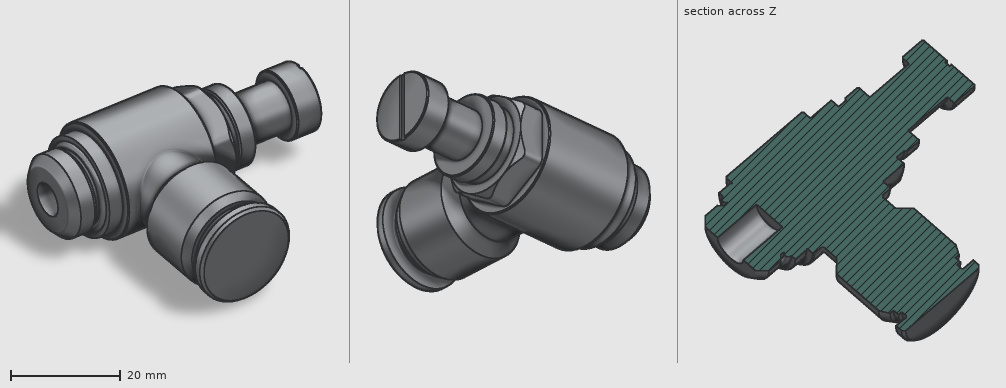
import cadquery as cq
import math


overall_length = 56.4

body_radius = 11.5
body_length = 19.95
body_end = body_length / 2
body_edge_break = 0.2

seal_flange_radius = 10.0
seal_flange_width = 3.15
seal_flange_chamfer = 0.2
seal_face = -body_end - seal_flange_width
ring_wire_radius = 0.8
ring_outer_radius = 8.9
plug_neck_radius = 7.4
plug_radius = 8.3
plug_end = -20.0
plug_end_chamfer = 1.7
plug_shoulder_start = -15.2
plug_rim_fillet = 0.7
port_bore_radius = 3.3

hex_across_flats = 19.0
hex_height = 5.4
hex_corner_fillet = 2.0
hex_top = body_end + hex_height

neck_radius = 7.6
collar_radius = 8.05
collar_bottom = 17.25
collar_top = 20.85
collar_top_chamfer = 0.2
collar_bottom_chamfer = 0.35
stem_radius = 5.0
head_radius = 6.9
head_height = 5.45
head_edge_break = 0.2
head_top = plug_end + overall_length
head_bottom = head_top - head_height
slot_width = 1.1
slot_depth = 0.45

outlet_neck_radius = 7.6
outlet_radius = 10.0
outlet_cone_start = 15.05
outlet_cone_end = outlet_cone_start + outlet_radius - outlet_neck_radius
outlet_taper_start = 28.5
outlet_face = 30.35
outlet_taper_angle = math.radians(30)
outlet_face_radius = outlet_radius - (outlet_face - outlet_taper_start) * math.tan(outlet_taper_angle)
collet_step_radius = 8.0
collet_step_end = 31.65
collet_neck_radius = 7.15
collet_flange_start = 32.95
collet_root_fillet = 0.35
collet_flange_end = 34.95
collet_flange_chamfer = 0.55
outlet_joint_fillet = 0.5


def y_cylinder(radius, start, end):
    """Solid cylinder on the valve axis, from y = start to y = end."""
    axis = cq.Vector(0, 1, 0)
    return cq.Workplane(cq.Solid.makeCylinder(radius, end - start, cq.Vector(0, start, 0), axis))


def make_body():
    return y_cylinder(body_radius, -body_end, body_end).edges().chamfer(body_edge_break)


def make_outlet():
    """Neck, sleeve and release collet turned about the X axis."""
    profile = (
        cq.Workplane("XY")
        .lineTo(0, outlet_neck_radius)
        .lineTo(outlet_cone_start, outlet_neck_radius)
        .lineTo(outlet_cone_end, outlet_radius)
        .lineTo(outlet_taper_start, outlet_radius)
        .lineTo(outlet_face, outlet_face_radius)
        .lineTo(outlet_face, collet_step_radius)
        .lineTo(collet_step_end, collet_step_radius)
        .lineTo(collet_step_end, collet_neck_radius)
        .lineTo(collet_flange_start - collet_root_fillet, collet_neck_radius)
        .tangentArcPoint((collet_flange_start, collet_neck_radius + collet_root_fillet), relative=False)
        .lineTo(collet_flange_start, outlet_radius)
        .lineTo(collet_flange_end - collet_flange_chamfer, outlet_radius)
        .lineTo(collet_flange_end, outlet_radius - collet_flange_chamfer)
        .lineTo(collet_flange_end, 0)
        .close()
    )
    return profile.revolve(360, (0, 0), (1, 0))


def make_body_with_outlet():
    """Join body and outlet, then round the saddle-shaped seam between them."""
    joined = make_body().union(make_outlet())
    seam_zone = cq.selectors.BoxSelector(
        (0, -outlet_neck_radius, -body_radius),
        (outlet_cone_start - outlet_joint_fillet, outlet_neck_radius, body_radius),
    )
    return joined.edges(seam_zone).edges("not %LINE").fillet(outlet_joint_fillet)


def make_plug():
    """Sealing flange, O-ring and threaded plug turned about the Y axis."""
    ring_center_radius = ring_outer_radius - ring_wire_radius
    ring_bottom = seal_face - ring_wire_radius
    ring_inset = ring_center_radius - plug_neck_radius
    ring_seat = seal_face - math.sqrt(ring_wire_radius**2 - ring_inset**2)
    shoulder_end = plug_shoulder_start + plug_radius - plug_neck_radius
    profile = (
        cq.Workplane("XY")
        .lineTo(seal_flange_radius - seal_flange_chamfer, 0)
        .lineTo(seal_flange_radius - seal_flange_chamfer, -body_end)
        .lineTo(seal_flange_radius, -body_end - seal_flange_chamfer)
        .lineTo(seal_flange_radius, seal_face)
        .lineTo(ring_outer_radius, seal_face)
        .threePointArc((ring_center_radius, ring_bottom), (plug_neck_radius, ring_seat))
        .lineTo(plug_neck_radius, shoulder_end)
        .lineTo(plug_radius, plug_shoulder_start)
        .lineTo(plug_radius, plug_end + plug_end_chamfer)
        .lineTo(plug_radius - plug_end_chamfer, plug_end)
        .lineTo(0, plug_end)
        .close()
    )
    plug = profile.revolve(360, (0, 0), (0, 1))
    return plug.faces("<Y").edges().fillet(plug_rim_fillet)


def make_hex():
    """Hexagon with two flats facing +X and -X and a 45 degree cone on its upper corners."""
    apothem = hex_across_flats / 2
    corner_radius = apothem / math.cos(math.radians(30))
    corners = []
    for index in range(6):
        angle = math.radians(30 + 60 * index)
        corners.append((corner_radius * math.cos(angle), corner_radius * math.sin(angle)))
    prism = (
        cq.Workplane("XZ")
        .polyline(corners)
        .close()
        .extrude(-hex_top)
        .edges("|Y")
        .fillet(hex_corner_fillet)
    )
    cone = (
        cq.Workplane("XY")
        .lineTo(apothem + hex_top, 0)
        .lineTo(apothem, hex_top)
        .lineTo(0, hex_top)
        .close()
        .revolve(360, (0, 0), (0, 1))
    )
    return prism.intersect(cone)


def make_screw():
    """Neck, collar, stem and slotted head stacked along +Y."""
    neck = y_cylinder(neck_radius, 0, collar_bottom)
    collar = y_cylinder(collar_radius, collar_bottom, collar_top)
    collar = collar.faces(">Y").edges().chamfer(collar_top_chamfer)
    collar = collar.faces("<Y").edges().chamfer(collar_bottom_chamfer)
    stem = y_cylinder(stem_radius, 0, head_top - head_height / 2)
    head = y_cylinder(head_radius, head_bottom, head_top).edges().chamfer(head_edge_break)
    slot = cq.Workplane("XY").box(slot_width, 2 * slot_depth, 2 * head_radius).translate((0, head_top, 0))
    return neck.union(collar).union(stem).union(head).cut(slot)


port_bore = y_cylinder(port_bore_radius, plug_end, -body_end)

result = (
    make_body_with_outlet()
    .union(make_plug())
    .union(make_hex())
    .union(make_screw())
    .cut(port_bore)
)